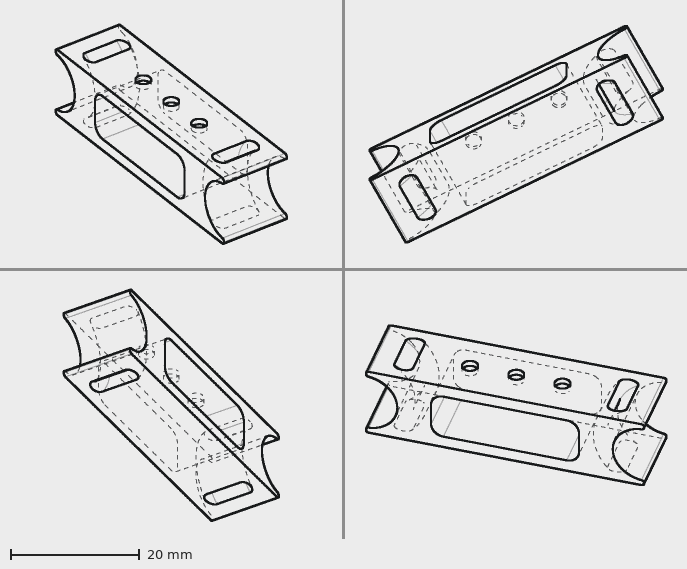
import cadquery as cq

length = 45.2
depth = 12.0
height = 12.2

saddle_radius = 5.1
lip_fillet = 0.5

window_length = 24.0
window_height = 8.0
window_fillet = 2.0

channel_width = 8.0
channel_thickness = 2.0
channel_mean_radius = 8.15

hole_diameter = 2.5
hole_depth = 1.0
hole_pitch = 7.5
hole_count = 3


def make_body():
    """Block with a saddle in each end and rounded lips."""
    block = cq.Workplane("XY").box(length, depth, height)
    saddles = (
        cq.Workplane("XZ")
        .pushPoints([(-length / 2, 0), (length / 2, 0)])
        .circle(saddle_radius)
        .extrude(depth, both=True)
    )
    return block.cut(saddles).edges("|Y").fillet(lip_fillet)


def make_window():
    """Rounded rectangular opening along Y."""
    return (
        cq.Workplane("XY")
        .box(window_length, depth, window_height)
        .edges("|Y")
        .fillet(window_fillet)
    )


def make_strap_channel(axis_x):
    """Round-ended slot section revolved about a saddle axis."""
    return (
        cq.Workplane("XY")
        .center(axis_x, 0)
        .moveTo(channel_mean_radius, 0)
        .slot2D(channel_width, channel_thickness, 90)
        .revolve(360, (0, 0), (0, 1))
    )


def make_holes():
    """Row of shallow round holes sunk into the top face."""
    return (
        cq.Workplane("XY", origin=(0, 0, height / 2))
        .rarray(hole_pitch, 0.45, hole_count, 1)
        .circle(hole_diameter / 2)
        .extrude(-hole_depth)
    )


result = make_body().cut(make_window()).cut(make_holes())
for end_x in (-length / 2, length / 2):
    result = result.cut(make_strap_channel(end_x))